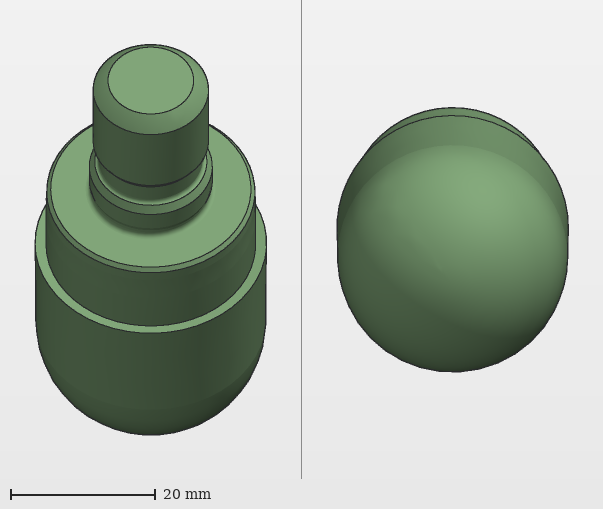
import cadquery as cq
import math

height = 68.9

rim_radius = 32.0 / 2
rim_z = 33.0
dome_radius = 15.9
dish_depth = 0.3

collar_radius = 29.0 / 2
collar_upper_radius = 28.8 / 2
collar_middle_radius = 14.45
collar_top_z = 44.9
collar_chamfer = 0.55
collar_taper_top_z = 42.8
collar_taper_bottom_z = 38.85
collar_base_z = rim_z - dish_depth

root_radius = 16.6 / 2
root_fillet = 0.7
shoulder_radius = 17.0 / 2
shoulder_relief_z = 46.1
shoulder_bottom_z = 46.8
shoulder_top_z = 49.9
shoulder_chamfer_top_z = 51.0

neck_radius = 14.4 / 2
neck_fillet = 0.55
neck_top_z = 54.35

head_radius = 16.0 / 2
head_bottom_z = 55.65
head_top_z = 66.9
tip_radius = 11.85 / 2
tip_bulge = 0.15


def revolve_about_z(profile):
    """Turn a closed profile drawn in the XZ plane into a solid of revolution."""
    return profile.close().revolve(360, (0, 0, 0), (0, 1, 0))


def concave_midpoint(center_x, center_z, radius):
    """Middle of the quarter arc on the lower left of a fillet's centre."""
    offset = radius * math.sqrt(0.5)
    return (center_x - offset, center_z - offset)


def bowed_midpoint(start, end, bulge):
    """Midpoint of a line, pushed to the right of its direction of travel."""
    run = end[0] - start[0]
    rise = end[1] - start[1]
    length = math.hypot(run, rise)
    mid_x = (start[0] + end[0]) / 2 + bulge * rise / length
    mid_z = (start[1] + end[1]) / 2 - bulge * run / length
    return (mid_x, mid_z)


def make_cap():
    """Dome with slightly flared wall, and a shallow conical dish where the stem sits."""
    dome_offset = dome_radius * math.sqrt(0.5)
    profile = (
        cq.Workplane("XZ")
        .moveTo(0, 0)
        .threePointArc((dome_offset, dome_radius - dome_offset), (dome_radius, dome_radius))
        .tangentArcPoint((rim_radius, rim_z), relative=False)
        .lineTo(collar_radius, collar_base_z)
        .lineTo(0, collar_base_z)
    )
    return revolve_about_z(profile)


def make_stem():
    """Turned stem: collar, shoulder, neck and round-edged head."""
    root_center = (root_radius + root_fillet, collar_top_z + root_fillet)
    neck_center = (neck_radius + neck_fillet, shoulder_chamfer_top_z + neck_fillet)
    head_edge = (head_radius, head_top_z)
    tip_edge = (tip_radius, height)
    profile = (
        cq.Workplane("XZ")
        .moveTo(0, collar_base_z)
        .lineTo(collar_radius, collar_base_z)
        .lineTo(collar_radius, collar_taper_bottom_z)
        .lineTo(collar_middle_radius, collar_taper_top_z)
        .lineTo(collar_upper_radius, collar_top_z - collar_chamfer)
        .lineTo(collar_upper_radius - collar_chamfer, collar_top_z)
        .lineTo(root_center[0], collar_top_z)
        .threePointArc(concave_midpoint(*root_center, root_fillet), (root_radius, root_center[1]))
        .lineTo(root_radius, shoulder_relief_z)
        .lineTo(shoulder_radius, shoulder_bottom_z)
        .lineTo(shoulder_radius, shoulder_top_z)
        .lineTo(neck_center[0], shoulder_chamfer_top_z)
        .threePointArc(concave_midpoint(*neck_center, neck_fillet), (neck_radius, neck_center[1]))
        .lineTo(neck_radius, neck_top_z)
        .lineTo(head_radius, head_bottom_z)
        .lineTo(*head_edge)
        .threePointArc(bowed_midpoint(head_edge, tip_edge, tip_bulge), tip_edge)
        .lineTo(0, height)
    )
    return revolve_about_z(profile)


cap = make_cap()
stem = make_stem()
result = cq.Compound.makeCompound([cap.val(), stem.val()])